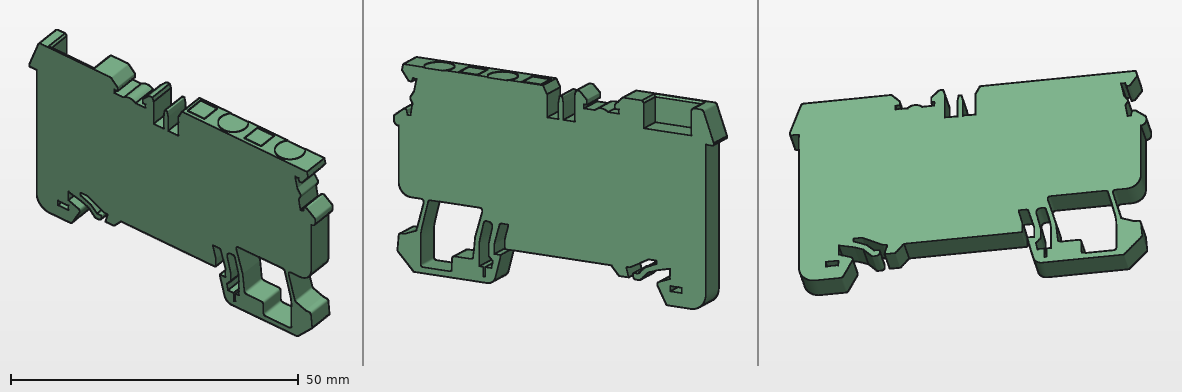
import cadquery as cq
import math


LENGTH = 62.97
THICKNESS = 4.95
HEIGHT = 37.4

BODY_LEFT = 1.6
BODY_RIGHT = 62.05
BODY_LEFT_RADIUS = 2.9
BODY_RIGHT_RADIUS = 2.5
RAIL_SEAT_Z = 6.65
ARM_ROOT_Z = 11.2
WINDOW_TOP_Z = 13.45
ARM_BEND_Z = 7.3
SMALL_RADIUS = 0.5
TINY_RADIUS = 0.2

GROOVE_FLOOR_Z = 34.35
GROOVE_LIP_Z = 35.1
GROOVE_LEFT = 18.67
GROOVE_RIGHT = 25.55
BUMP_HALF_WIDTH = 1.3
BUMP_HEIGHT = 0.5
BUMP_X = (GROOVE_LEFT + GROOVE_RIGHT) / 2

BLADE_SLOT_LEFT = 27.38
BLADE_SLOT_RIGHT = 32.82
BLADE_SLOT_FLOOR_Z = 31.7
BLADE_X = (BLADE_SLOT_LEFT + BLADE_SLOT_RIGHT) / 2
BLADE_TOP_Z = 35.92

POCKET_LEFT = 4.45
POCKET_RIGHT = 13.75
POCKET_FRONT_Y = 0.72
POCKET_DEPTH = 5.0
POCKET_CHAMFER = 0.4

MARK_DEPTH = 0.1
MARK_PITCH = 12.5
MARK_COUNT = 2
SQUARE_SIZE = 3.68
FIRST_SQUARE_X = 36.05
SQUARE_Y = 2.7
CIRCLE_RADIUS = 2.65
FIRST_CIRCLE_X = 42.5
CIRCLE_Y = 3.1

FOOT_SLOT_LEFT = 6.33
FOOT_SLOT_LENGTH = 2.25
FOOT_SLOT_BOTTOM_Z = 3.58
FOOT_SLOT_HEIGHT = 0.96


def rounded_outline(corners):
    """Closed XZ outline from (x, z, radius) corners, each rounded by a tangent arc."""
    outline = None
    for index, (x, z, radius) in enumerate(corners):
        before = corners[index - 1]
        after = corners[(index + 1) % len(corners)]
        corner = cq.Vector(x, z)
        to_before = (cq.Vector(before[0], before[1]) - corner).normalized()
        to_after = (cq.Vector(after[0], after[1]) - corner).normalized()
        half_angle = to_before.getAngle(to_after) / 2
        setback = radius / math.tan(half_angle)
        start = corner + to_before * setback
        if outline is None:
            outline = cq.Workplane("XZ").moveTo(start.x, start.y)
        else:
            outline = outline.lineTo(start.x, start.y)
        if radius > 0:
            bisector = (to_before + to_after).normalized()
            middle = corner + bisector * (radius / math.sin(half_angle) - radius)
            end = corner + to_after * setback
            outline = outline.threePointArc((middle.x, middle.y), (end.x, end.y))
    return outline.close()


def through_thickness(outline):
    """Solid from the front face to the back face."""
    return outline.extrude(-THICKNESS)



def left_head():
    """Sloped head that overhangs the left wall."""
    underside_z = 31.15
    slope_bottom_z = 31.65
    slope_top_x = 2.1
    return [
        (BODY_LEFT, underside_z, 0),
        (0, underside_z, 0.3),
        (0, slope_bottom_z, 0),
        (slope_top_x, HEIGHT, 0.6),
    ]


def marker_groove():
    """Groove with an undercut on both sides and a hooked right wall."""
    left_lip_x = 19.47
    right_lip_x = 24.97
    left_bevel_height = 1.5
    right_bevel_bottom_z = 36.0
    hook_left = 26.4
    hook_right = 27.1
    hook_drop = 0.8
    return [
        (left_lip_x - left_bevel_height, HEIGHT, SMALL_RADIUS),
        (left_lip_x, HEIGHT - left_bevel_height, 0.4),
        (left_lip_x, GROOVE_LIP_Z, 0),
        (GROOVE_LEFT, GROOVE_LIP_Z, 0),
        (GROOVE_LEFT, GROOVE_FLOOR_Z, 0),
        (GROOVE_RIGHT, GROOVE_FLOOR_Z, 0),
        (GROOVE_RIGHT, GROOVE_LIP_Z, 0),
        (right_lip_x, GROOVE_LIP_Z, 0),
        (right_lip_x, right_bevel_bottom_z, TINY_RADIUS),
        (hook_left, HEIGHT, SMALL_RADIUS),
        (hook_right, HEIGHT, 0),
        (BLADE_SLOT_LEFT, HEIGHT - hook_drop, 0),
    ]


def blade_slots():
    """Two upright slots and the tapered blade that separates them."""
    blade_half_width = 0.47
    tip_half_width = 0.27
    tip_radius = 0.15
    taper_bottom_z = 34.8
    bevel_width = 0.8
    bevel_height = 1.5
    return [
        (BLADE_SLOT_LEFT, BLADE_SLOT_FLOOR_Z, 0),
        (BLADE_X - blade_half_width, BLADE_SLOT_FLOOR_Z, 0),
        (BLADE_X - blade_half_width, taper_bottom_z, 0),
        (BLADE_X - tip_half_width, BLADE_TOP_Z, tip_radius),
        (BLADE_X + tip_half_width, BLADE_TOP_Z, tip_radius),
        (BLADE_X + blade_half_width, taper_bottom_z, 0),
        (BLADE_X + blade_half_width, BLADE_SLOT_FLOOR_Z, 0),
        (BLADE_SLOT_RIGHT, BLADE_SLOT_FLOOR_Z, 0),
        (BLADE_SLOT_RIGHT, HEIGHT - bevel_height, 0),
        (BLADE_SLOT_RIGHT + bevel_width, HEIGHT, 0),
    ]


def right_notch():
    """Label notch in the right end, between an upper hook and a lower nose."""
    hook_right = 61.4
    hook_shoulder_z = 36.3
    hook_tip_z = 34.5
    hook_inner_x = 59.25
    notch_left = 58.52
    wall_ridge_x = 59.85
    wall_ridge_z = 31.5
    notch_floor_z = 28.3
    nose_top_z = 29.3
    nose_shoulder_z = 27.85
    nose_bottom_z = 26.1
    upper_hook = [
        (hook_right - 0.25, HEIGHT, 0),
        (hook_right, hook_shoulder_z, TINY_RADIUS),
        (60.1, hook_tip_z, 0.3),
        (59.5, hook_tip_z - 0.1, 0),
        (hook_inner_x, GROOVE_LIP_Z, 0),
    ]
    notch_wall = [
        (notch_left, GROOVE_LIP_Z, 0),
        (59.02, 32.75, 0.3),
        (wall_ridge_x, wall_ridge_z, 0.4),
        (59.32, wall_ridge_z - 1.0, 0.1),
        (59.7, notch_floor_z, 0),
    ]
    lower_nose = [
        (60.3, notch_floor_z, TINY_RADIUS),
        (60.5, nose_top_z, 0.3),
        (61.1, nose_top_z, TINY_RADIUS),
        (LENGTH, nose_shoulder_z, 0.5),
        (LENGTH, nose_bottom_z, 0.9),
        (BODY_RIGHT, nose_bottom_z, 0),
    ]
    return upper_hook + notch_wall + lower_nose


def right_foot():
    """Right corner of the body, the thin strut and the rail foot below it."""
    strut_top_x = 56.95
    strut_bottom_x = 58.55
    strut_bottom_z = 7.55
    toe_right = 62.3
    toe_bottom_z = 3.4
    sole_left = 43.3
    sole_right = 59.05
    hook_tip_x = 41.97
    hook_top_z = 5.48
    hook_bend_z = 5.15
    arm_left = 43.2
    slot_left = 40.4
    slot_mouth_left = 41.1
    strut = [
        (BODY_RIGHT, WINDOW_TOP_Z, BODY_RIGHT_RADIUS),
        (strut_top_x, WINDOW_TOP_Z, SMALL_RADIUS),
        (strut_bottom_x, strut_bottom_z, SMALL_RADIUS),
    ]
    foot = [
        (60.9, RAIL_SEAT_Z, SMALL_RADIUS),
        (toe_right - 0.3, RAIL_SEAT_Z, SMALL_RADIUS),
        (toe_right, toe_bottom_z, SMALL_RADIUS),
        (sole_right, 0, TINY_RADIUS),
        (sole_left, 0, 1.7),
        (hook_tip_x, hook_bend_z, 2.2),
    ]
    rail_hook = [
        (hook_tip_x, hook_top_z, 0),
        (arm_left, hook_top_z, 0),
        (arm_left, ARM_BEND_Z, 0),
        (42.1, ARM_ROOT_Z, SMALL_RADIUS),
        (slot_left, ARM_ROOT_Z, 0.1),
        (slot_mouth_left, 8.5, 0),
        (slot_mouth_left, RAIL_SEAT_Z, 0.25),
    ]
    return strut + foot + rail_hook


def left_foot():
    """Spring finger over the rail and the left foot that hooks under it."""
    slot_top_z = 8.75
    slot_mouth_z = 6.82
    heel_z = 4.93
    finger_tip_x = 15.9
    finger_tip_top_z = 5.88
    finger_tip_bottom_z = 4.73
    throat_x = 8.63
    throat_top_z = 7.65
    throat_bottom_z = 5.8
    foot_bottom_z = 0.95
    heel = [
        (20.2, RAIL_SEAT_Z, 0),
        (18.65, heel_z, TINY_RADIUS),
        (16.75, heel_z, 0),
        (17.25, slot_mouth_z, TINY_RADIUS),
    ]
    finger_slot = [
        (16.5, slot_mouth_z, TINY_RADIUS),
        (12.8, slot_top_z, TINY_RADIUS),
        (11.2, slot_top_z, 0.25),
        (11.3, 8.15, TINY_RADIUS),
        (13.6, 7.15, TINY_RADIUS),
    ]
    spring_finger = [
        (14.95, finger_tip_top_z, 0),
        (finger_tip_x, finger_tip_top_z, 0.15),
        (finger_tip_x, finger_tip_bottom_z, 0.6),
        (14.55, finger_tip_bottom_z, 0.25),
        (13.0, 6.3, 0),
        (11.4, 6.95, 0),
        (throat_x, throat_top_z, 0),
    ]
    foot = [
        (throat_x, throat_bottom_z, 0),
        (11.35, 4.75, SMALL_RADIUS),
        (9.3, foot_bottom_z, SMALL_RADIUS),
        (BODY_LEFT, foot_bottom_z, BODY_LEFT_RADIUS),
    ]
    return heel + finger_slot + spring_finger + foot


def housing():
    """Plain housing slice made from all outline sections."""
    top_edge = left_head() + marker_groove() + blade_slots()
    corners = top_edge + right_notch() + right_foot() + left_foot()
    return through_thickness(rounded_outline(corners))


def groove_bump():
    """Low rounded rib on the floor of the marker groove."""
    outline = (
        cq.Workplane("XZ")
        .moveTo(BUMP_X - BUMP_HALF_WIDTH, GROOVE_FLOOR_Z)
        .threePointArc(
            (BUMP_X, GROOVE_FLOOR_Z + BUMP_HEIGHT),
            (BUMP_X + BUMP_HALF_WIDTH, GROOVE_FLOOR_Z),
        )
        .close()
    )
    return through_thickness(outline)


def foot_window():
    """Large opening between the body, the struts and the rail foot."""
    step_z = 3.95
    floor_z = 1.12
    right_x = 57.7
    step_x = 51.55
    strut_bend_radius = 8.0
    return through_thickness(rounded_outline([
        (45.4, WINDOW_TOP_Z, SMALL_RADIUS),
        (56.15, WINDOW_TOP_Z, SMALL_RADIUS),
        (right_x, ARM_BEND_Z, strut_bend_radius),
        (right_x, floor_z, SMALL_RADIUS),
        (step_x, floor_z, SMALL_RADIUS),
        (step_x, step_z, SMALL_RADIUS),
        (47.4, step_z, SMALL_RADIUS),
        (47.0, 8.0, 0),
    ]))


def spring_slot():
    """Curved slot that frees the rail hook, with a narrow relief at its foot."""
    floor_z = 2.85
    right_x = 46.15
    arm_right = 44.32
    arm_bend_radius = 5.0
    relief_left = 44.98
    relief_right = 45.4
    relief_bottom_z = 1.1
    relief_radius = 0.15
    return through_thickness(rounded_outline([
        (43.35, ARM_ROOT_Z, 0.8),
        (45.2, ARM_ROOT_Z, SMALL_RADIUS),
        (right_x, ARM_BEND_Z, arm_bend_radius),
        (right_x, floor_z, 0),
        (relief_right, floor_z, 0.1),
        (relief_right, relief_bottom_z, relief_radius),
        (relief_left, relief_bottom_z, relief_radius),
        (relief_left, floor_z, 0),
        (43.76, floor_z, 0),
        (43.5, 4.15, 0.1),
        (arm_right, 5.0, TINY_RADIUS),
        (arm_right, 7.1, 0),
    ]))


def foot_slot():
    """Small rectangular window in the left foot."""
    return through_thickness(
        cq.Workplane("XZ")
        .moveTo(FOOT_SLOT_LEFT, FOOT_SLOT_BOTTOM_Z)
        .rect(FOOT_SLOT_LENGTH, FOOT_SLOT_HEIGHT, centered=False)
    )


def label_pocket():
    """Pocket behind a thin front wall, with a chamfer along its three top edges."""
    mouth_depth = THICKNESS - POCKET_FRONT_Y
    pocket = cq.Workplane("XY").box(
        POCKET_RIGHT - POCKET_LEFT, mouth_depth, POCKET_DEPTH, centered=False
    ).translate((POCKET_LEFT, POCKET_FRONT_Y, HEIGHT - POCKET_DEPTH))
    flare_length = POCKET_RIGHT - POCKET_LEFT + 2 * POCKET_CHAMFER
    flare_width = mouth_depth + 2 * POCKET_CHAMFER
    flare = (
        cq.Workplane("XY", origin=(0, 0, HEIGHT))
        .moveTo(POCKET_LEFT - POCKET_CHAMFER, POCKET_FRONT_Y - POCKET_CHAMFER)
        .rect(flare_length, flare_width, centered=False)
        .extrude(-POCKET_CHAMFER, taper=45)
    )
    return pocket.union(flare)


def top_marks():
    """Shallow square and round recesses, alternating along the top right edge."""
    squares = [(FIRST_SQUARE_X + i * MARK_PITCH, SQUARE_Y) for i in range(MARK_COUNT)]
    circles = [(FIRST_CIRCLE_X + i * MARK_PITCH, CIRCLE_Y) for i in range(MARK_COUNT)]
    top = cq.Workplane("XY", origin=(0, 0, HEIGHT))
    square_cuts = top.pushPoints(squares).rect(SQUARE_SIZE, SQUARE_SIZE).extrude(-MARK_DEPTH)
    circle_cuts = top.pushPoints(circles).circle(CIRCLE_RADIUS).extrude(-MARK_DEPTH)
    return square_cuts.union(circle_cuts)


result = (
    housing()
    .union(groove_bump())
    .cut(foot_window())
    .cut(spring_slot())
    .cut(foot_slot())
    .cut(label_pocket())
    .cut(top_marks())
)